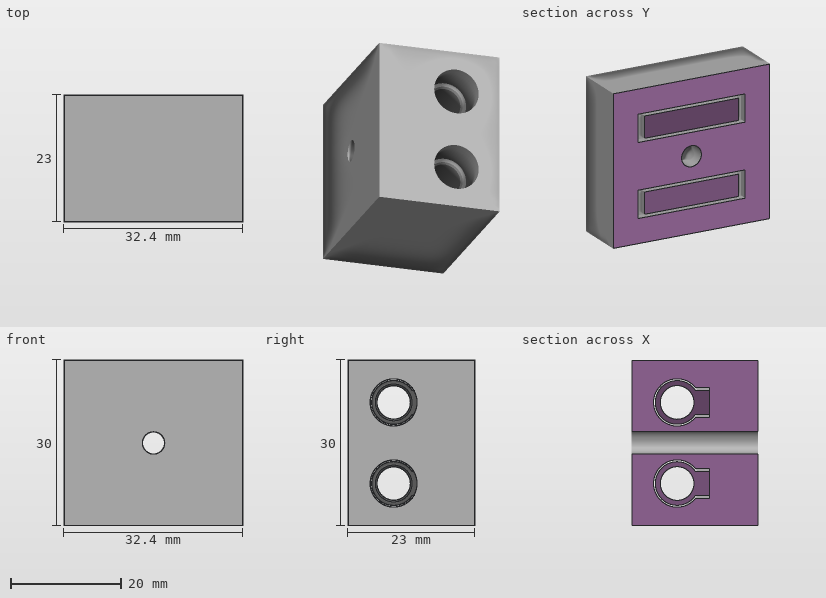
import cadquery as cq

LENGTH = 32.4
DEPTH = 23.0
HEIGHT = 30.0

MOUNT_HOLE_DIAMETER = 4.0

CHANNEL_DIAMETER = 8.5
CHANNEL_SPACING = 14.7
CHANNEL_Y = 8.25
CHANNEL_HEIGHTS = [HEIGHT / 2 + side * CHANNEL_SPACING / 2 for side in (-1, 1)]

TUBE_LENGTH = 19.45
TUBE_DIAMETER = 8.0
BORE_DIAMETER = 6.03
BORE_CHAMFER = 0.32

KEY_WIDTH = 4.4
POCKET_WIDTH = 5.38
KEY_REACH = 5.83
POCKET_LENGTH = 22.03


def rod_along_x(diameter, length, z):
    """Cylinder on a channel axis, centred along the housing length."""
    start = (LENGTH - length) / 2
    return cq.Workplane("YZ", origin=(start, CHANNEL_Y, z)).circle(diameter / 2).extrude(length)


def key_block(length, width, z):
    """Rectangular block from a channel axis toward +Y, centred along the housing length."""
    block = cq.Workplane("XY").box(length, KEY_REACH, width, centered=(True, False, True))
    return block.translate((LENGTH / 2, CHANNEL_Y, z))


def make_housing():
    """Block with the mounting hole, the wire channels and their key pockets."""
    block = cq.Workplane("XY").box(LENGTH, DEPTH, HEIGHT, centered=False)
    mount_hole = (
        cq.Workplane("XZ", origin=(LENGTH / 2, 0, HEIGHT / 2))
        .circle(MOUNT_HOLE_DIAMETER / 2)
        .extrude(-DEPTH)
    )
    block = block.cut(mount_hole)
    for z in CHANNEL_HEIGHTS:
        block = block.cut(rod_along_x(CHANNEL_DIAMETER, LENGTH, z))
        block = block.cut(key_block(POCKET_LENGTH, POCKET_WIDTH, z))
    return block


def make_terminal(z):
    """Keyed tube with a through bore chamfered at both ends."""
    tube = rod_along_x(TUBE_DIAMETER, TUBE_LENGTH, z).union(key_block(TUBE_LENGTH, KEY_WIDTH, z))
    tube = tube.cut(rod_along_x(BORE_DIAMETER, TUBE_LENGTH, z))
    bore_rims = tube.faces("<X or >X").edges("%CIRCLE").edges(cq.selectors.RadiusNthSelector(0))
    return bore_rims.chamfer(BORE_CHAMFER)


housing = make_housing()
terminals = [make_terminal(z) for z in CHANNEL_HEIGHTS]

result = cq.Compound.makeCompound([housing.val(), *[terminal.val() for terminal in terminals]])